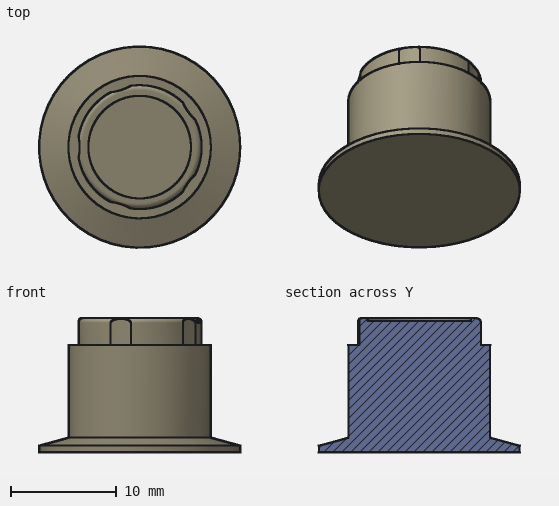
import cadquery as cq
import math

flange_radius = 9.52
rim_height = 0.63
cone_top = 1.4
body_radius = 6.75
body_top = 10.15
crown_radius = 5.87
total_height = 12.7
crown_edge_fillet = 0.48

recess_radius = 4.85
recess_depth = 0.27

flute_count = 5
flute_half_width = 1.01
flute_floor_radius = 5.68
flute_overshoot = 0.38


def make_base():
    """Flange with a conical upper face, carrying the cylindrical body."""
    profile = [
        (0, 0),
        (flange_radius, 0),
        (flange_radius, rim_height),
        (body_radius, cone_top),
        (body_radius, body_top),
        (0, body_top),
    ]
    return cq.Workplane("XZ").polyline(profile).close().revolve(360, (0, 0), (0, 1))


def make_crown():
    """Smaller top cylinder with a rounded upper edge."""
    crown = cq.Workplane("XY").workplane(offset=body_top)
    crown = crown.circle(crown_radius).extrude(total_height - body_top)
    return crown.faces(">Z").edges().fillet(crown_edge_fillet)


def make_flute_cutter():
    """Cutter for the flute on the -X side; its inner face bows toward the axis."""
    edge_x = -math.sqrt(crown_radius**2 - flute_half_width**2)
    outer_x = -(crown_radius + flute_overshoot)
    return (
        cq.Workplane("XY")
        .workplane(offset=body_top)
        .moveTo(edge_x, -flute_half_width)
        .threePointArc((-flute_floor_radius, 0), (edge_x, flute_half_width))
        .lineTo(outer_x, flute_half_width)
        .lineTo(outer_x, -flute_half_width)
        .close()
        .extrude(total_height - body_top)
    )


crown = make_crown()
flute_cutter = make_flute_cutter()
for index in range(flute_count):
    angle = index * 360 / flute_count
    crown = crown.cut(flute_cutter.rotate((0, 0, 0), (0, 0, 1), angle))

recess = (
    cq.Workplane("XY")
    .workplane(offset=total_height - recess_depth)
    .circle(recess_radius)
    .extrude(recess_depth)
)

result = make_base().union(crown).cut(recess)